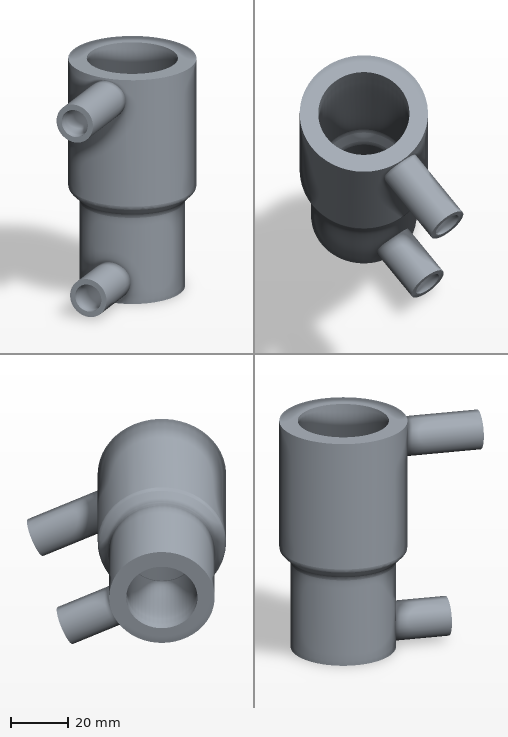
import cadquery as cq

height = 85.0
upper_diameter = 45.0
lower_diameter = 37.0
upper_bore = 32.0
lower_bore = 25.0
cone_bottom = 33.0
cone_fillet = 2.0

port_diameter = 14.0
port_bore = 10.0
port_end_inset = 8.0
overall_depth = 71.5
lower_port_reach = 37.5
upper_port_reach = overall_depth - upper_diameter / 2


def stepped_cylinder(lower_radius, upper_radius):
    """Two cylinders joined by a 45 degree cone, with both cone edges rounded."""
    cone_top = cone_bottom + upper_radius - lower_radius
    solid = (
        cq.Workplane("XZ")
        .polyline([
            (0, 0),
            (lower_radius, 0),
            (lower_radius, cone_bottom),
            (upper_radius, cone_top),
            (upper_radius, height),
            (0, height),
        ])
        .close()
        .revolve(360, (0, 0, 0), (0, 1, 0))
    )
    cone_edges = solid.edges("%CIRCLE").edges("not(<Z or >Z)")
    return cone_edges.fillet(cone_fillet)


def port_cylinder(diameter, axis_height, reach):
    """Cylinder from the sleeve axis out to the port end."""
    return cq.Workplane("XZ").center(0, axis_height).circle(diameter / 2).extrude(reach)


sleeve = stepped_cylinder(lower_diameter / 2, upper_diameter / 2)
main_bore = stepped_cylinder(lower_bore / 2, upper_bore / 2)

ports = [
    (port_end_inset, lower_port_reach),
    (height - port_end_inset, upper_port_reach),
]
body = sleeve
for axis_height, reach in ports:
    tube = port_cylinder(port_diameter, axis_height, reach)
    tube = tube.cut(port_cylinder(port_bore, axis_height, reach))
    body = body.union(tube)

result = body.cut(main_bore)